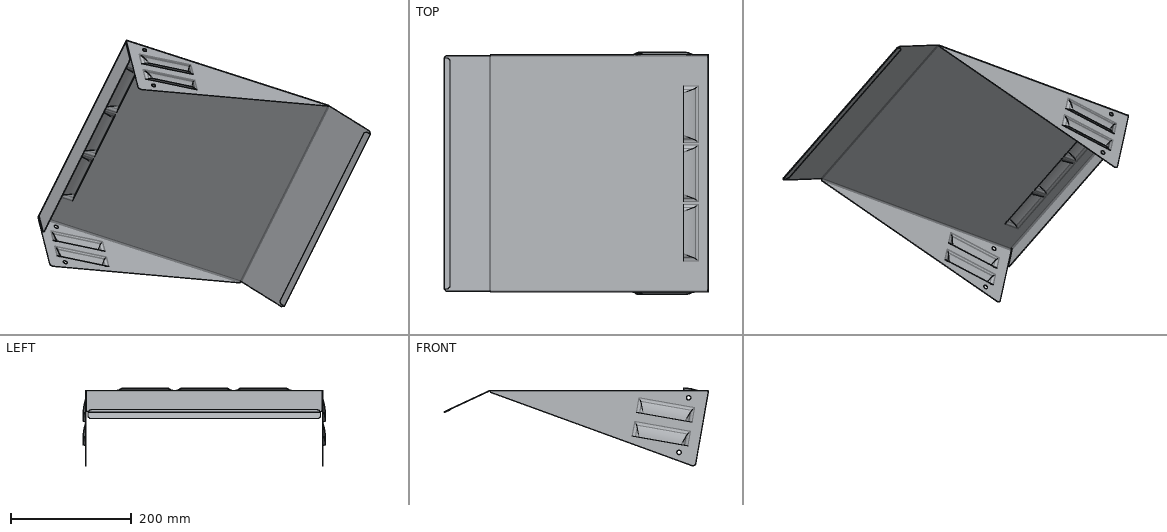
import cadquery as cq
import math

OVERALL_LENGTH = 437.86
OVERALL_WIDTH = 401.23
OVERALL_HEIGHT = 129.08

SHEET = 0.8
BEND_RADIUS = 2.0

LOUVER_HEIGHT = 4.0
LOUVER_LENGTH = 93.5
LOUVER_DEPTH = 24.5
LOUVER_RIM = 5.3
LOUVER_END = 11.5
LOUVER_END_RIM = 5.5

BODY_WIDTH = OVERALL_WIDTH - 2 * LOUVER_HEIGHT
SIDE_HEIGHT = OVERALL_HEIGHT - LOUVER_HEIGHT
REAR_ANGLE = math.radians(10)
UNDERSIDE_ANGLE = math.radians(20)
HEEL_RADIUS = 5.0

LIP_REACH = 77.0
LIP_ANGLE = 25.0
LIP_BEND_RADIUS = 4.0
LIP_INSET = 1.5
LIP_CORNER = 4.0
HEM_LENGTH = 10.5
HEM_CORNER = 4.0

REAR_SETBACK = BEND_RADIUS * math.tan((math.pi / 2 + REAR_ANGLE) / 2)
REAR_BEND_START = OVERALL_LENGTH - LIP_REACH - BEND_RADIUS
REAR_CORNER = REAR_BEND_START + REAR_SETBACK
REAR_BEND_END = (
    REAR_CORNER - REAR_SETBACK * math.sin(REAR_ANGLE),
    -REAR_SETBACK * math.cos(REAR_ANGLE),
)

FLANGE_DROP = 47.0
FLANGE_SIDE_GAP = 4.0
FLANGE_CORNER = 3.5

PLATE_LOUVER_EDGE = 319.8
PLATE_LOUVER_PITCH = 98.0
PLATE_LOUVER_COUNT = 3
SIDE_LOUVER_TOP = (287.5, -44.6)
SIDE_LOUVER_PITCH = 39.8
SIDE_LOUVER_COUNT = 2

SIDE_HOLE_TOP = (328.0, -12.3)
SIDE_HOLE_PITCH = 91.8
SIDE_HOLE_DIAMETER = 7.0


def down_the_rear(start, distance):
    """Point (X, Z) reached from start by going down parallel to the rear edge."""
    return (
        start[0] - distance * math.sin(REAR_ANGLE),
        start[1] - distance * math.cos(REAR_ANGLE),
    )


def side_outline():
    """Wedge outline of a side, with a rounded heel at the lower rear corner."""
    heel_z = HEEL_RADIUS - SIDE_HEIGHT
    heel_x = REAR_CORNER + heel_z * math.tan(REAR_ANGLE) - HEEL_RADIUS / math.cos(REAR_ANGLE)
    rear_tangent = (
        heel_x + HEEL_RADIUS * math.cos(REAR_ANGLE),
        heel_z - HEEL_RADIUS * math.sin(REAR_ANGLE),
    )
    under_tangent = (
        heel_x - HEEL_RADIUS * math.sin(UNDERSIDE_ANGLE),
        heel_z - HEEL_RADIUS * math.cos(UNDERSIDE_ANGLE),
    )
    toe_z = under_tangent[1] + under_tangent[0] * math.tan(UNDERSIDE_ANGLE)
    return (
        cq.Workplane("XZ")
        .moveTo(0, 0)
        .lineTo(REAR_BEND_START, 0)
        .radiusArc(REAR_BEND_END, BEND_RADIUS)
        .lineTo(*rear_tangent)
        .threePointArc((heel_x, -SIDE_HEIGHT), under_tangent)
        .lineTo(0, toe_z)
        .close()
        .extrude(BODY_WIDTH / 2, both=True)
    )


def channel_core(inset):
    """Long block inset from the outside of the channel, with rounded upper edges."""
    return (
        cq.Workplane("YZ")
        .rect(BODY_WIDTH - 2 * inset, 2 * (SIDE_HEIGHT + inset))
        .extrude(REAR_CORNER)
        .translate((0, 0, -SIDE_HEIGHT - 2 * inset))
        .edges("|X and >Z")
        .fillet(BEND_RADIUS - inset)
    )


def body():
    """Plate and the two sides folded down from it."""
    return channel_core(0).cut(channel_core(SHEET)).intersect(side_outline())


def lip():
    """Sloping front lip: built flat with clipped corners and a hem, then turned down about its bend."""
    tilt = math.radians(LIP_ANGLE)
    length = (LIP_REACH - LIP_BEND_RADIUS * math.sin(tilt)) / math.cos(tilt)
    width = BODY_WIDTH - 2 * LIP_INSET
    flat = (
        cq.Workplane("XY")
        .box(length, width, SHEET, centered=(False, True, False))
        .translate((-length, 0, -SHEET))
        .edges("|Z and <X")
        .chamfer(LIP_CORNER)
    )
    hem = (
        cq.Workplane("XY")
        .box(HEM_LENGTH, width - 2 * LIP_CORNER, SHEET, centered=(False, True, False))
        .translate((-length, 0, -2 * SHEET))
        .edges("|Z and >X")
        .chamfer(HEM_CORNER)
    )
    bend_axis_start = (0, 0, -LIP_BEND_RADIUS)
    bend_axis_end = (0, 1, -LIP_BEND_RADIUS)
    bend = (
        cq.Workplane("YZ")
        .center(0, -SHEET / 2)
        .rect(width, SHEET)
        .revolve(LIP_ANGLE, (0, SHEET / 2 - LIP_BEND_RADIUS), (-1, SHEET / 2 - LIP_BEND_RADIUS))
    )
    return bend.union(flat.union(hem).rotate(bend_axis_start, bend_axis_end, -LIP_ANGLE))


def rear_flange():
    """Flange folded down along the rear edge, between the sides, with its bend."""
    slant = math.tan(REAR_ANGLE)
    inner_radius = BEND_RADIUS - SHEET
    inner_end = (
        REAR_BEND_END[0] - SHEET * math.cos(REAR_ANGLE),
        REAR_BEND_END[1] + SHEET * math.sin(REAR_ANGLE),
    )
    outer_foot_x = REAR_CORNER - FLANGE_DROP * slant
    return (
        cq.Workplane("XZ")
        .moveTo(REAR_BEND_START, 0)
        .radiusArc(REAR_BEND_END, BEND_RADIUS)
        .lineTo(outer_foot_x, -FLANGE_DROP)
        .lineTo(outer_foot_x - SHEET / math.cos(REAR_ANGLE), -FLANGE_DROP)
        .lineTo(*inner_end)
        .radiusArc((REAR_BEND_START, -SHEET), -inner_radius)
        .close()
        .extrude(BODY_WIDTH / 2 - FLANGE_SIDE_GAP, both=True)
        .faces("<Z")
        .edges("<Y or >Y")
        .chamfer(FLANGE_CORNER)
    )


def ogee(run, rim):
    """Mid and end points of the two tangent arcs rising from (0, 0) to (run, LOUVER_HEIGHT)."""
    sweep = 2 * math.atan(LOUVER_HEIGHT / run)
    foot_radius = rim / math.sin(sweep)
    crown_radius = (run - rim) / math.sin(sweep)
    half_sin = math.sin(sweep / 2)
    half_rise = 1 - math.cos(sweep / 2)
    return [
        ((foot_radius * half_sin, foot_radius * half_rise), (rim, LOUVER_HEIGHT * rim / run)),
        ((run - crown_radius * half_sin, LOUVER_HEIGHT - crown_radius * half_rise), (run, LOUVER_HEIGHT)),
    ]


def louver_dome():
    """Solid under a louver: open edge on the Y axis, closed edge at +X, foot on Z = 0."""
    half = LOUVER_LENGTH / 2
    (foot_mid, foot_end), (crown_mid, crown_end) = ogee(LOUVER_DEPTH, LOUVER_RIM)
    depth_body = (
        cq.Workplane("XZ")
        .moveTo(0, -SHEET)
        .lineTo(LOUVER_DEPTH, -SHEET)
        .lineTo(LOUVER_DEPTH, 0)
        .threePointArc((LOUVER_DEPTH - foot_mid[0], foot_mid[1]), (LOUVER_DEPTH - foot_end[0], foot_end[1]))
        .threePointArc((LOUVER_DEPTH - crown_mid[0], crown_mid[1]), (0, LOUVER_HEIGHT))
        .close()
        .extrude(half, both=True)
    )
    (foot_mid, foot_end), (crown_mid, crown_end) = ogee(LOUVER_END, LOUVER_END_RIM)
    length_body = (
        cq.Workplane("YZ")
        .moveTo(-half, -SHEET)
        .lineTo(-half, 0)
        .threePointArc((foot_mid[0] - half, foot_mid[1]), (foot_end[0] - half, foot_end[1]))
        .threePointArc((crown_mid[0] - half, crown_mid[1]), (crown_end[0] - half, crown_end[1]))
        .lineTo(half - crown_end[0], crown_end[1])
        .threePointArc((half - crown_mid[0], crown_mid[1]), (half - foot_end[0], foot_end[1]))
        .threePointArc((half - foot_mid[0], foot_mid[1]), (half, 0))
        .lineTo(half, -SHEET)
        .close()
        .extrude(LOUVER_DEPTH)
    )
    return depth_body.intersect(length_body)


def place_on_plate(shape, index):
    """Move a louver to its place in the row along the rear of the plate."""
    y = (index - (PLATE_LOUVER_COUNT - 1) / 2) * PLATE_LOUVER_PITCH
    return shape.translate((PLATE_LOUVER_EDGE, y, 0))


def place_on_near_side(shape, centre):
    """Turn a plate louver onto the -Y side, open edge down and square to the rear edge."""
    return (
        shape.rotate((0, 0, 0), (0, 0, 1), 90)
        .rotate((0, 0, 0), (1, 0, 0), 90)
        .rotate((0, 0, 0), (0, 1, 0), math.degrees(REAR_ANGLE))
        .translate((centre[0], -BODY_WIDTH / 2, centre[1]))
    )


def add_louvers(part):
    """Open the sheet under every louver, then join the formed louver to it."""
    dome = louver_dome()
    hollow = dome.translate((0, 0, -SHEET))
    shell = dome.cut(hollow)
    louvers = []
    for index in range(PLATE_LOUVER_COUNT):
        louvers.append((place_on_plate(hollow, index), place_on_plate(shell, index)))
    for index in range(SIDE_LOUVER_COUNT):
        centre = down_the_rear(SIDE_LOUVER_TOP, index * SIDE_LOUVER_PITCH)
        near_hollow = place_on_near_side(hollow, centre)
        near_shell = place_on_near_side(shell, centre)
        louvers.append((near_hollow, near_shell))
        louvers.append((near_hollow.mirror("XZ"), near_shell.mirror("XZ")))
    for opening, formed in louvers:
        part = part.cut(opening).union(formed)
    return part


def side_holes():
    """Cutter for the round holes through both sides."""
    return (
        cq.Workplane("XZ")
        .pushPoints([SIDE_HOLE_TOP, down_the_rear(SIDE_HOLE_TOP, SIDE_HOLE_PITCH)])
        .circle(SIDE_HOLE_DIAMETER / 2)
        .extrude(BODY_WIDTH, both=True)
    )


result = add_louvers(body().union(lip()).union(rear_flange())).cut(side_holes())